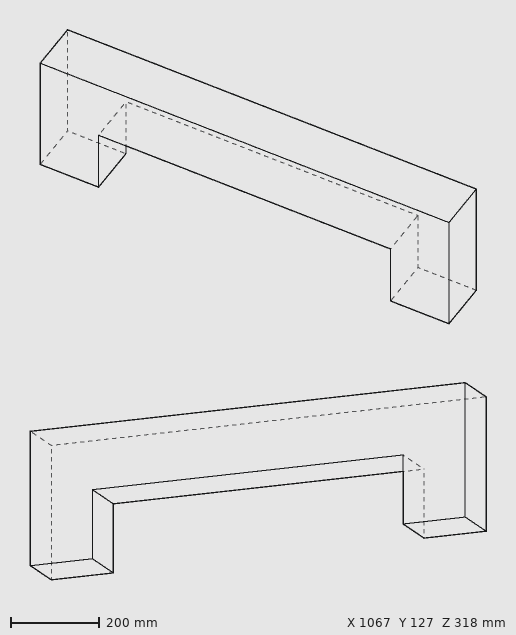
import cadquery as cq

length = 1067.0
thickness = 127.0
height = 318.0

leg_width = 153.0
beam_depth = 155.0

opening_width = length - 2 * leg_width
opening_height = height - beam_depth

block = cq.Workplane("XY").box(length, thickness, height, centered=(True, True, False))
opening = cq.Workplane("XY").box(opening_width, thickness, opening_height, centered=(True, True, False))

result = block.cut(opening)